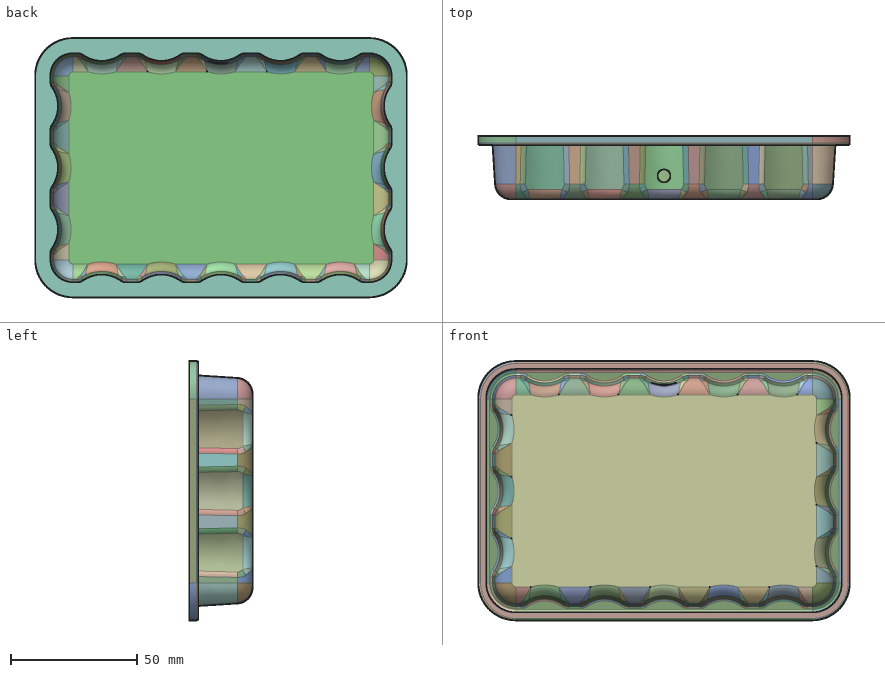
import cadquery as cq
import math


LENGTH = 147.14
HEIGHT = 102.69
DEPTH = 25.15
RIM_CORNER_RADIUS = 15.0
RIM_THICKNESS = 3.65
RIM_EDGE_FILLET = 0.9
LIP_WIDTH = 3.2
GROOVE_DEPTH = 2.0
GROOVE_FILLET = 1.3

WALL_THICKNESS = 0.6
WALL_INSET = 5.7
DRAFT_ANGLE = math.radians(3.7)
FLOOR_FILLET = 6.65
WALL_FOOT_FILLET = 0.8

LONG_SIDE_COUNT = 5
LONG_SIDE_PITCH = 23.6
SHORT_SIDE_COUNT = 3
SHORT_SIDE_PITCH = 24.4
SCALLOP_DEPTH = 3.0
SCALLOP_RADIUS = 12.7
SCALLOP_FLOOR_FILLET = 4.35
SCALLOP_EDGE_FILLET = 3.8

HOLE_DIAMETER = 5.1
HOLE_DEPTH = 15.8

AXIS_OFFSET = SCALLOP_RADIUS - SCALLOP_DEPTH - WALL_INSET
GROOVE_BOTTOM = RIM_THICKNESS - GROOVE_DEPTH
SEAM_ANGLE = 45
TOLERANCE = 0.01


def draft_shift(depth):
    """Sideways shift of a drafted wall at a depth, measured from the depth of the rim."""
    return (depth - RIM_THICKNESS) * math.tan(DRAFT_ANGLE)


def rounded_rectangle(inset):
    """Outline parallel to the rim's edge."""
    return (
        cq.Sketch()
        .rect(LENGTH - 2 * inset, HEIGHT - 2 * inset)
        .vertices()
        .fillet(RIM_CORNER_RADIUS - inset)
    )


def plate(inset, depth, thickness):
    """Flat rounded plate whose back face is at the given depth."""
    plane = cq.Workplane("XZ", origin=(0, -depth, 0))
    return plane.placeSketch(rounded_rectangle(inset)).extrude(thickness)


def row(count, pitch):
    """Centred, evenly spaced positions."""
    return [(index - (count - 1) / 2) * pitch for index in range(count)]


def scallop_axes():
    """X and Z of every scallop's axis."""
    axis_x = LENGTH / 2 + AXIS_OFFSET
    axis_z = HEIGHT / 2 + AXIS_OFFSET
    axes = []
    for side in (-1, 1):
        axes += [(x, side * axis_z) for x in row(LONG_SIDE_COUNT, LONG_SIDE_PITCH)]
        axes += [(side * axis_x, z) for z in row(SHORT_SIDE_COUNT, SHORT_SIDE_PITCH)]
    return axes


def scallop_cutter(offset):
    """Bell about the Y axis: a drafted cone that flares out to meet the floor tangentially."""
    floor = DEPTH - offset
    flare = SCALLOP_FLOOR_FILLET - offset
    flare_start_depth = floor - flare * (1 - math.sin(DRAFT_ANGLE))
    back_radius = SCALLOP_RADIUS + offset + draft_shift(0)
    flare_start_radius = SCALLOP_RADIUS + offset + draft_shift(flare_start_depth)
    mouth_radius = flare_start_radius + flare * math.cos(DRAFT_ANGLE)
    middle_angle = (math.pi / 2 + DRAFT_ANGLE) / 2
    middle_radius = mouth_radius - flare * math.sin(middle_angle)
    middle_depth = floor - flare * (1 - math.cos(middle_angle))
    return (
        cq.Workplane("XY")
        .lineTo(back_radius, 0)
        .lineTo(flare_start_radius, -flare_start_depth)
        .threePointArc((middle_radius, -middle_depth), (mouth_radius, -floor))
        .lineTo(0, -floor)
        .close()
        .revolve(360, (0, 0, 0), (0, 1, 0))
        .rotate((0, 0, 0), (0, 1, 0), SEAM_ANGLE)
    )


def is_scallop_side(edge, offset):
    """True for the drafted edges where a scallop meets the flat wall."""
    if edge.BoundingBox().ylen < DEPTH / 2:
        return False
    back = max(edge.startPoint(), edge.endPoint(), key=lambda point: point.y)
    inset = WALL_INSET + offset + draft_shift(0)
    wall_gap = min(abs(abs(back.x) - LENGTH / 2 + inset), abs(abs(back.z) - HEIGHT / 2 + inset))
    axis_distances = [math.hypot(back.x - x, back.z - z) for x, z in scallop_axes()]
    scallop_gap = abs(min(axis_distances) - SCALLOP_RADIUS - offset - draft_shift(0))
    return max(wall_gap, scallop_gap) < TOLERANCE


def solid_basin(offset):
    """Solid scalloped basin, with its walls and floor moved inwards by the offset."""
    floor = DEPTH - offset
    inset = WALL_INSET + offset
    back = rounded_rectangle(inset + draft_shift(0))
    front = rounded_rectangle(inset + draft_shift(floor)).moved(cq.Location(cq.Vector(0, 0, floor)))
    body = cq.Workplane("XZ").placeSketch(back, front).loft(ruled=True)
    body = body.faces("<Y").edges().fillet(FLOOR_FILLET - offset)
    cutter = scallop_cutter(offset)
    for x, z in scallop_axes():
        body = body.cut(cutter.translate((x, 0, z)))
    sides = [edge for edge in body.edges().vals() if is_scallop_side(edge, offset)]
    return body.newObject(sides).fillet(SCALLOP_EDGE_FILLET - offset)


def solid_rim():
    """Rounded rim plate, with a groove inside its lip where the basin wall stands."""
    groove = plate(LIP_WIDTH, GROOVE_BOTTOM, GROOVE_DEPTH).faces(">Y").edges().fillet(GROOVE_FILLET)
    return plate(0, 0, RIM_THICKNESS).faces("<Y").edges().fillet(RIM_EDGE_FILLET).cut(groove)


def join_at_groove(rim, basin):
    """Join the rim and the basin, with a fillet where the wall rises from the groove."""
    body = rim.union(basin)
    basin_solid = basin.val()
    foot_edges = []
    for edge in body.edges().vals():
        middle = edge.positionAt(0.5)
        lies_in_groove = edge.BoundingBox().ylen < TOLERANCE and abs(middle.y + GROOVE_BOTTOM) < TOLERANCE
        if lies_in_groove and cq.Vertex.makeVertex(*middle.toTuple()).distance(basin_solid) < TOLERANCE:
            foot_edges.append(edge)
    return body.newObject(foot_edges).fillet(WALL_FOOT_FILLET)


def drain_hole():
    """Cutter through the middle of the +Z wall."""
    return cq.Workplane("XY").center(0, -HOLE_DEPTH).circle(HOLE_DIAMETER / 2).extrude(HEIGHT / 2)


def hollow(body, cavity):
    """Hollow the body by joining its skin to the cavity's skin around the open back face."""
    body_back = body.faces("|Y").faces(">Y").val()
    cavity_back = cavity.faces("|Y").faces(">Y").val()
    skin = [face for face in body.faces().vals() if not face.isSame(body_back)]
    skin += [face for face in cavity.faces().vals() if not face.isSame(cavity_back)]
    skin.append(cq.Face.makeFromWires(body_back.outerWire(), [cavity_back.outerWire()]))
    return cq.Workplane(cq.Solid.makeSolid(cq.Shell.makeShell(skin)))


filled_tray = join_at_groove(solid_rim(), solid_basin(0))
tray = hollow(filled_tray, solid_basin(WALL_THICKNESS))
result = tray.cut(drain_hole(), clean=False)